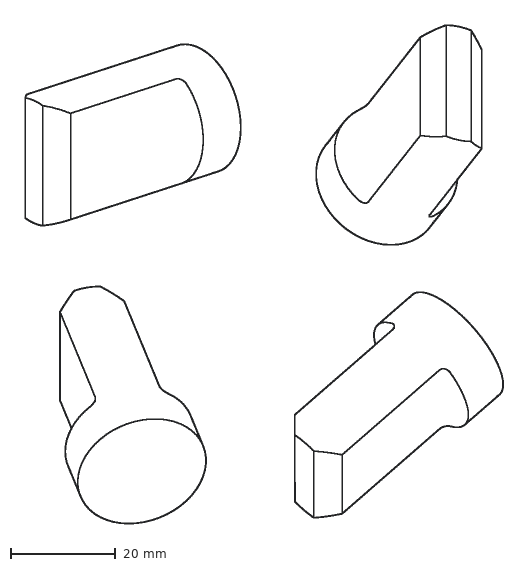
import cadquery as cq

length = 41.25
diameter = 25.4
head_length = 9.5
blade_width = 12.7
root_radius = 1.5
tip_chamfer = 3.8

radius = diameter / 2
half_blade = blade_width / 2
half_tip = half_blade - tip_chamfer
shoulder_y = length - head_length


def round_bar():
    """Full-length cylinder along Y."""
    return cq.Workplane("XZ").circle(radius).extrude(-length)


def side_profile():
    """T-shaped outline in XY, with filleted blade roots and a chamfered tip."""
    fillet_x = half_blade + root_radius
    fillet_y = shoulder_y - root_radius
    return (
        cq.Workplane("XY")
        .moveTo(-half_tip, 0)
        .lineTo(half_tip, 0)
        .lineTo(half_blade, tip_chamfer)
        .lineTo(half_blade, fillet_y)
        .radiusArc((fillet_x, shoulder_y), root_radius)
        .lineTo(radius, shoulder_y)
        .lineTo(radius, length)
        .lineTo(-radius, length)
        .lineTo(-radius, shoulder_y)
        .lineTo(-fillet_x, shoulder_y)
        .radiusArc((-half_blade, fillet_y), root_radius)
        .lineTo(-half_blade, tip_chamfer)
        .close()
    )


result = round_bar().intersect(side_profile().extrude(radius, both=True))